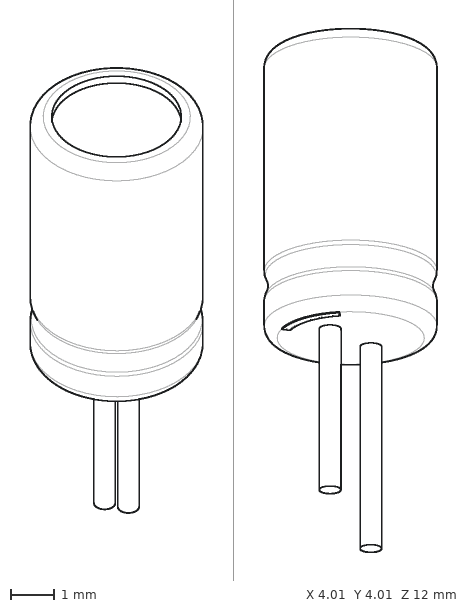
import cadquery as cq
import math

overall_height = 12.01
long_lead = 5.01
short_lead = 4.0

can_diameter = 4.01
can_height = overall_height - long_lead
can_radius = can_diameter / 2
rim_fillet = 0.3
recess_radius = 1.5
recess_depth = 0.2

groove_height = 1.29
groove_radius = 0.61
groove_blend = 0.23
groove_depth = 0.09

lead_diameter = 0.5
lead_spacing = 1.5

pad_inner_radius = recess_radius
pad_angle = 60
pad_outer_radius = can_radius - rim_fillet
pad_thickness = 0.02


def make_can():
    blend_angle = math.acos(1 - groove_depth / (groove_radius + groove_blend))
    half_width = (groove_radius + groove_blend) * math.sin(blend_angle)
    tangent_offset = groove_radius * math.sin(blend_angle)
    tangent_radius = can_radius - groove_blend * (1 - math.cos(blend_angle))

    mid_radius = can_radius - groove_blend * (1 - math.cos(blend_angle / 2))
    mid_offset = half_width - groove_blend * math.sin(blend_angle / 2)

    profile = (
        cq.Workplane("XZ")
        .lineTo(can_radius, 0)
        .lineTo(can_radius, groove_height - half_width)
        .threePointArc(
            (mid_radius, groove_height - mid_offset),
            (tangent_radius, groove_height - tangent_offset),
        )
        .threePointArc(
            (can_radius - groove_depth, groove_height),
            (tangent_radius, groove_height + tangent_offset),
        )
        .threePointArc(
            (mid_radius, groove_height + mid_offset),
            (can_radius, groove_height + half_width),
        )
        .lineTo(can_radius, can_height)
        .lineTo(0, can_height)
        .close()
    )
    can = profile.revolve(360, (0, 0, 0), (0, 1, 0))
    return can.faces("<Z or >Z").edges().fillet(rim_fillet)


def make_recess():
    return (
        cq.Workplane("XY", origin=(0, 0, can_height - recess_depth))
        .circle(recess_radius)
        .extrude(recess_depth)
    )


def make_lead(x, length):
    return cq.Workplane("XY").center(x, 0).circle(lead_diameter / 2).extrude(-length)


def make_polarity_pad():
    profile = (
        cq.Workplane("XZ")
        .moveTo(pad_inner_radius, -pad_thickness)
        .lineTo(pad_outer_radius, -pad_thickness)
        .lineTo(pad_outer_radius, 0)
        .lineTo(pad_inner_radius, 0)
        .close()
    )
    sector = profile.revolve(pad_angle, (0, 0, 0), (0, 1, 0))
    return sector.rotate((0, 0, 0), (0, 0, 1), -pad_angle / 2)


result = (
    make_can()
    .cut(make_recess())
    .union(make_lead(-lead_spacing / 2, long_lead))
    .union(make_lead(lead_spacing / 2, short_lead))
    .union(make_polarity_pad())
)